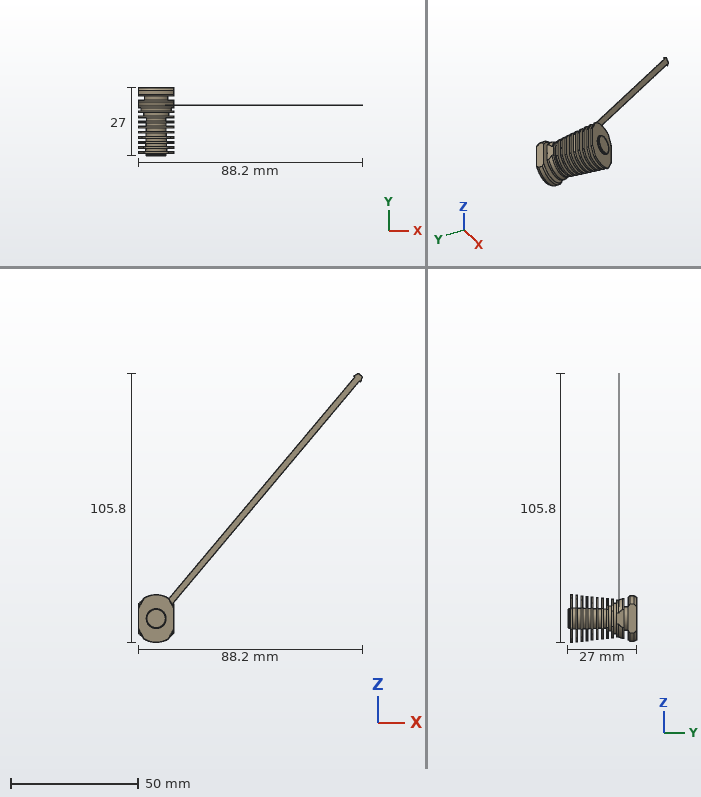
import cadquery as cq
import math

body_length = 27.0
body_width = 14.0

head_length = 3.4
head_radius = 9.0
head_face_radius = 8.4
head_back_bevel = 1.1
head_front_bevel = 0.6

neck_radius = 4.7

collar_start = 5.0
collar_end = 7.9
collar_back_radius = 7.8
collar_front_radius = 7.3

fin_count = 9
fin_pitch = 2.0
fin_thickness = 0.7
first_fin_radius = 7.6
last_fin_radius = 9.4
corner_cut_distance = 8.1
corner_cut_angle = 29
nub_length = 1.02

first_gap_radius = 6.0
second_gap_radius = 5.0
core_back_radius = 3.8
core_front_radius = 4.2

nub_radius = 3.9
nub_chamfer = 0.3

strip_angle = 50
strip_reach = 125.0
strip_width = 2.4
strip_thickness = 0.15
strip_station = 7.0
strip_root = 4.2
tip_length = 2.0
tip_base_width = 3.6
tip_end_width = 2.1

fins_end = body_length - nub_length
first_fin_center = fins_end - fin_thickness / 2 - (fin_count - 1) * fin_pitch


def fin_center(index):
    return first_fin_center + index * fin_pitch


def turned(start, end, start_radius, end_radius):
    """Solid cylinder or cone about the Y axis between two stations."""
    profile = [(0, -start), (start_radius, -start), (end_radius, -end), (0, -end)]
    return cq.Workplane("XY").polyline(profile).close().revolve(360, (0, 0), (0, 1))


def make_head():
    back_end = head_back_bevel
    front_start = head_length - head_front_bevel
    back = turned(0, back_end, head_face_radius, head_radius)
    middle = turned(back_end, front_start, head_radius, head_radius)
    front = turned(front_start, head_length, head_radius, head_face_radius)
    return back.union(middle).union(front)


def make_collar():
    cone_start = collar_start + fin_thickness
    cone_end = collar_end - fin_thickness
    back = turned(collar_start, cone_start, collar_back_radius, collar_back_radius)
    cone = turned(cone_start, cone_end, collar_back_radius, collar_front_radius)
    front = turned(cone_end, collar_end, collar_front_radius, collar_front_radius)
    return back.union(cone).union(front)


def make_core():
    neck = turned(head_length, collar_start, neck_radius, neck_radius)
    first_gap = turned(collar_end, fin_center(0), first_gap_radius, first_gap_radius)
    second_gap = turned(fin_center(0), fin_center(1), second_gap_radius, second_gap_radius)
    shaft = turned(fin_center(1), fins_end, core_back_radius, core_front_radius)
    return neck.union(first_gap).union(second_gap).union(shaft)


def make_fin(index):
    growth = (last_fin_radius - first_fin_radius) / (fin_count - 1)
    radius = first_fin_radius + index * growth
    start = fin_center(index) - fin_thickness / 2
    return turned(start, start + fin_thickness, radius, radius)


def make_corner_envelope():
    """Rhombus-section bar whose four sides cut the corners of the larger fins."""
    half_width = corner_cut_distance / math.cos(math.radians(corner_cut_angle))
    half_height = corner_cut_distance / math.sin(math.radians(corner_cut_angle))
    corners = [(half_width, 0), (0, half_height), (-half_width, 0), (0, -half_height)]
    return cq.Workplane("XZ").polyline(corners).close().extrude(body_length)


def make_nub():
    return turned(fins_end, body_length, nub_radius, nub_radius).edges("%CIRCLE").chamfer(nub_chamfer)


def make_strip():
    """Strip drawn along +X with an arrow-shaped tip, then swung up about the body axis."""
    tip_start = strip_reach - tip_length
    upper_edge = [
        (strip_root, strip_width / 2),
        (tip_start, strip_width / 2),
        (tip_start, tip_base_width / 2),
        (strip_reach, tip_end_width / 2),
    ]
    lower_edge = [(x, -z) for x, z in reversed(upper_edge)]
    strip = (
        cq.Workplane("XZ", origin=(0, -strip_station, 0))
        .polyline(upper_edge + lower_edge)
        .close()
        .extrude(strip_thickness / 2, both=True)
    )
    return strip.rotate((0, 0, 0), (0, 1, 0), -strip_angle)


body = make_head().union(make_collar()).union(make_core()).union(make_nub())
corner_envelope = make_corner_envelope()
for fin_index in range(fin_count):
    body = body.union(make_fin(fin_index).intersect(corner_envelope))

flats = cq.Workplane("XY").box(body_width, 2 * body_length, 3 * last_fin_radius)
result = body.intersect(flats).union(make_strip())